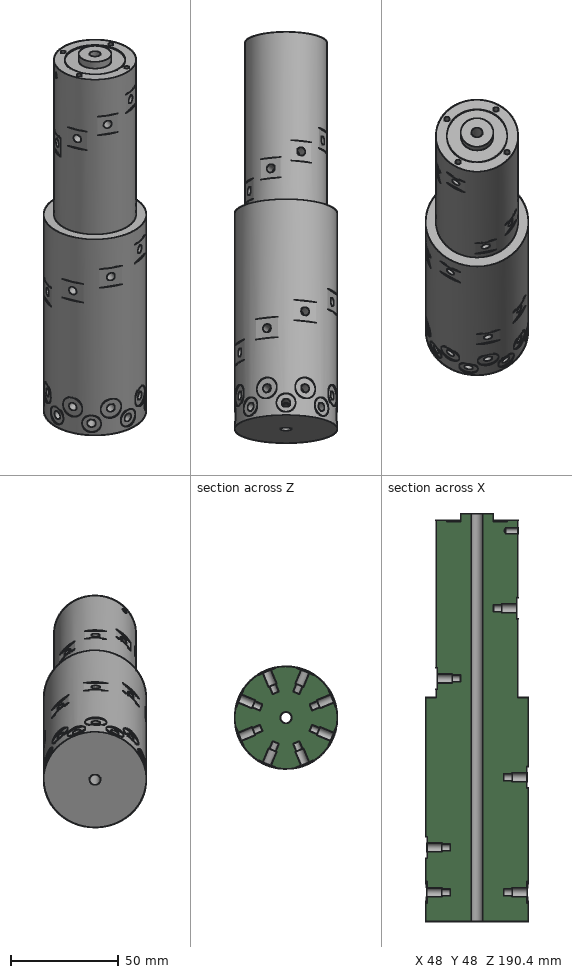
import cadquery as cq
import math

total_height = 190.4
shoulder_height = 104.7
top_face_height = 187.4
lower_radius = 24.0
upper_radius = 19.2
boss_radius = 7.6
bore_diameter = 5.1

recess_radius = 14.0
recess_depth = 0.5

screw_circle_radius = 16.5
screw_hole_diameter = 2.5
screw_hole_depth = 5.7
set_screw_height = 182.4
set_screw_diameter = 2.7
set_screw_depth = 5.7
drill_point_angle = 118

ports_per_ring = 8
port_pitch = 360 / ports_per_ring
port_diameter = 4.0
port_depth = 7.6
passage_diameter = 3.0
passage_depth = 11.5
port_spiral_rise = 8.2
upper_spiral_height = 146.2
lower_spiral_height = 67.4
flat_height = 9.9
flat_depth = 0.65

high_ring_height = 13.7
low_ring_height = 6.0
high_spot_diameter = 10.0
low_spot_diameter = 9.0


def disc(radius, bottom, top):
    """Round cylinder on the Z axis."""
    return cq.Workplane("XY").workplane(offset=bottom).circle(radius).extrude(top - bottom)


def radial_plane(angle, height, distance):
    """Plane facing outwards; the angle is counted about +Z from the -Y side."""
    turn = math.radians(angle)
    outward = (math.sin(turn), -math.cos(turn), 0)
    origin = (distance * outward[0], distance * outward[1], height)
    sideways = (math.cos(turn), math.sin(turn), 0)
    return cq.Workplane(cq.Plane(origin=origin, xDir=sideways, normal=outward))


def port_hole(angle, height, radius):
    """Port drilled inwards from the given body radius, with a narrower passage beyond its floor."""
    port = radial_plane(angle, height, radius - port_depth).circle(port_diameter / 2)
    passage = radial_plane(angle, height, radius - passage_depth).circle(passage_diameter / 2)
    return port.extrude(port_depth).union(passage.extrude(passage_depth))


def drilled_hole(diameter, depth):
    """Blind hole with a drill point, going down from the origin."""
    radius = diameter / 2
    point_depth = radius / math.tan(math.radians(drill_point_angle / 2))
    half_section = [(0, 0), (radius, 0), (radius, -depth), (0, -depth - point_depth)]
    return cq.Workplane("XZ").polyline(half_section).close().revolve(360, (0, 0, 0), (0, 1, 0))


def flat_port(angle, height, radius):
    """Flat milled across the cylinder with a port drilled into it."""
    flat = radial_plane(angle, height, radius - flat_depth).rect(2 * radius, flat_height)
    return flat.extrude(2 * flat_depth).union(port_hole(angle, height, radius))


def spot_faced_port(angle, height, spot_diameter):
    """Round spot face with a port drilled into it."""
    spot = radial_plane(angle, height, lower_radius - flat_depth).circle(spot_diameter / 2)
    hole = port_hole(angle, height, lower_radius)
    return spot.extrude(2 * flat_depth).union(hole)


body = disc(lower_radius, 0, shoulder_height)
body = body.union(disc(upper_radius, shoulder_height, top_face_height))
recess = disc(recess_radius, top_face_height - recess_depth, top_face_height)
body = body.cut(recess)
body = body.union(disc(boss_radius, top_face_height - recess_depth, total_height))

for step in range(-ports_per_ring // 2, ports_per_ring // 2):
    angle = step * port_pitch
    rise = step * port_spiral_rise
    body = body.cut(flat_port(angle, upper_spiral_height + rise, upper_radius))
    body = body.cut(flat_port(angle, lower_spiral_height + rise, lower_radius))

for step in range(ports_per_ring):
    angle = step * port_pitch
    body = body.cut(spot_faced_port(angle, high_ring_height, high_spot_diameter))
    body = body.cut(spot_faced_port(angle + port_pitch / 2, low_ring_height, low_spot_diameter))

screw_offset = screw_circle_radius / math.sqrt(2)
screw_hole = drilled_hole(screw_hole_diameter, screw_hole_depth)
for x in (-screw_offset, screw_offset):
    for y in (-screw_offset, screw_offset):
        body = body.cut(screw_hole.translate((x, y, top_face_height)))

set_screw_hole = drilled_hole(set_screw_diameter, set_screw_depth)
set_screw_hole = set_screw_hole.rotate((0, 0, 0), (1, 0, 0), 90)
body = body.cut(set_screw_hole.translate((0, -upper_radius, set_screw_height)))

body = body.cut(disc(bore_diameter / 2, 0, total_height))

result = body